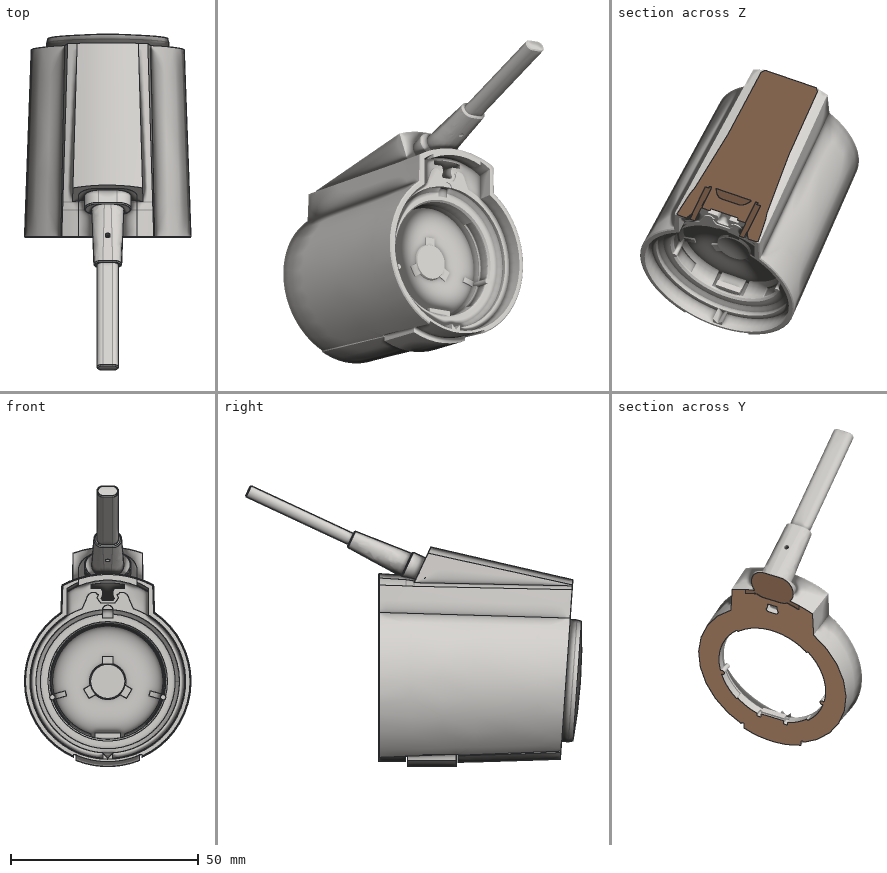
import cadquery as cq
import math


rim_radius = 22.2
back_radius = 20.4
back_y = 49.95
back_tilt = 4.0
overrun = 12.0
rim_chamfer = 0.3

cap_radius = 16.3
cap_center_z = 0.25
cap_height = 3.0
cap_chamfer_length = 1.2
cap_chamfer_width = 0.3
dome_height = 0.9

shoulder_back_y = 54.0
shoulder_base_z = 12.0
shoulder_top_z = 30.0
shoulder_front_base_half_width = 12.7
shoulder_front_top_half_width = 12.1
shoulder_back_base_half_width = 11.9
shoulder_back_top_half_width = 10.0
crown_half_width = 13.2
crown_front_edge_z = 25.1
crown_back_edge_z = 22.9
shoulder_front_crest_z = 28.75
shoulder_crests = [
    (0.0, shoulder_front_crest_z),
    (7.4, 28.2),
    (9.5, 27.8),
    (shoulder_back_y, 26.75),
]

axis_tilt = 25.0
ramp_slope = 13.0
ramp_tip_y = 14.0
ramp_tip_z = 35.78
ramp_front_half_width = 9.4
ramp_front_y = 9.0
ramp_back_half_width = 8.2
ramp_roof_radius = 25.0
ramp_base_z = 20.0

pad_half_width = 8.5
recess_half_width = 9.1
recess_z = -19.5
front_pad_radius = 21.4
front_pad_length = 7.3
foot_radius = 22.72
foot_start_y = 7.75
foot_end_y = 20.8
rear_pad_start_y = 21.2
rear_pad_front_radius = 21.62
rear_pad_back_radius = 20.75

ledge_depth = 4.2
seat_depth = 6.4
floor_depth = 12.3
floor_radius = 14.7
seat_inner_radius = 15.9
ledge_radius = 20.5
land_inner_radius = 19.1
bore_corners = [
    (20.75, 0.0),
    (ledge_radius, ledge_depth),
    (land_inner_radius, ledge_depth),
    (land_inner_radius, 5.4),
    (17.95, seat_depth),
    (seat_inner_radius, seat_depth),
    (15.45, 7.0),
    (15.1, 10.7),
    (floor_radius, floor_depth),
]

boss_top_radius = 4.55
boss_base_radius = 4.85
boss_height = 0.7
key_reach = 6.6
key_width = 2.9
key_height = 0.4
rod_radius = 0.7
rod_distance = 15.35
rod_overhang = 0.2
bar_inner_radius = 11.6
bar_height = 0.5
contact_angle = 16.0
tab_half_width = 3.4
tab_top_z = -13.75
tab_front_depth = 7.6
tab_strip_depth = 9.2
tab_root_z = -14.3
tab_slot_half_width = 4.45
tab_slot_radius = 15.4
notch_half_width = 1.4
notch_top_z = 20.3
notch_step_depth = 4.5
notch_bottom_z = 16.8
notch_depth = 6.8
window_radius = 15.7
window_front_depth = 7.4
window_back_depth = 10.4
window_angle = 48.0
rim_key_half_width = 1.3
rim_key_start_y = 0.5
rim_key_radius = 20.9
rim_key_groove_radius = 20.5

pocket_half_width = 10.9
pocket_corner_z = 23.7
pocket_flare = 1.0
pocket_crest_z = 26.95
pocket_depth = 4.5
pocket_base_z = 15.0

lobe_base_x = 6.8
lobe_base_z = 19.4
lobe_flank_x = 5.7
lobe_flank_z = 21.9
lobe_shoulder_x = 5.1
lobe_shoulder_z = 23.1
lobe_crest_x = 4.1
lobe_top_z = 23.7
lobe_tip_x = 3.2
lobe_nose_x = 2.45
lobe_nose_z = 23.15
lobe_throat_x = 2.85
lobe_throat_z = 22.2
lobe_nose_radius = 0.7
saddle_half_width = 1.9
saddle_z = 20.85

slot_head_half_width = 4.4
slot_head_bottom_z = 24.7
slot_crest_z = 26.2
slot_crest_drop = 0.4
slot_stem_half_width = 1.35
slot_neck_z = 23.4
slot_flare_z = 22.1
slot_bottom_half_width = 1.75
slot_bottom_z = 21.5

axis_start_y = 11.08
axis_start_z = 29.33
cable_width = 5.8
cable_thickness = 3.3
cable_end = 50.55
relief_base_width = 8.6
relief_base_thickness = 6.8
relief_tip_width = 7.4
relief_tip_thickness = 4.8
relief_end = 20.3
end_chamfer = 0.3
flange_width = 12.5
flange_thickness = 7.7
flange_end = 3.95
plate_width = 15.7
plate_thickness = 10.0
plate_depth = 2.0
vent_distance = 12.9
vent_diameter = 1.3


def section(y):
    """Sketch plane facing the front at depth y; local axes are X and Z."""
    return cq.Workplane("XZ", origin=(0, y, 0))


def cone_along_y(front_radius, end_radius, start_y, end_y):
    profile = [(0, start_y), (front_radius, start_y), (end_radius, end_y), (0, end_y)]
    return cq.Workplane("XY").polyline(profile).close().revolve(360, (0, 0, 0), (0, 1, 0))


def box_between(x, y, z):
    """Box spanning the three (low, high) ranges."""
    size = [high - low for low, high in (x, y, z)]
    return cq.Workplane("XY").box(*size, centered=False).translate((x[0], y[0], z[0]))


def arched_outline(plane, half_width, corner_z, crest_z, base_z):
    return (
        plane.moveTo(-half_width, base_z)
        .lineTo(-half_width, corner_z)
        .threePointArc((0, crest_z), (half_width, corner_z))
        .lineTo(half_width, base_z)
        .close()
    )


def place_on_cable_axis(shape):
    """Move a shape built along +Z, with +Y as its upper side, onto the tilted cable axis."""
    turned = shape.rotate((0, 0, 0), (1, 0, 0), 90 - axis_tilt)
    return turned.translate((0, axis_start_y, axis_start_z))


def loft_between(front_outline, back_outline):
    return cq.Workplane(cq.Solid.makeLoft([front_outline.val(), back_outline.val()], True))


def crown_outline(y, crest_z):
    share = y / shoulder_back_y
    edge_z = crown_front_edge_z + (crown_back_edge_z - crown_front_edge_z) * share
    return arched_outline(section(y), crown_half_width, edge_z, crest_z, shoulder_base_z)


def shoulder_walls(y, base_half_width, top_half_width):
    return (
        section(y)
        .polyline([
            (-base_half_width, shoulder_base_z),
            (-top_half_width, shoulder_top_z),
            (top_half_width, shoulder_top_z),
            (base_half_width, shoulder_base_z),
        ])
        .close()
    )


def shoulder():
    crown = cq.Workplane()
    for front, back in zip(shoulder_crests, shoulder_crests[1:]):
        crown = crown.add(loft_between(crown_outline(*front), crown_outline(*back)))
    walls = loft_between(
        shoulder_walls(0, shoulder_front_base_half_width, shoulder_front_top_half_width),
        shoulder_walls(shoulder_back_y, shoulder_back_base_half_width, shoulder_back_top_half_width),
    )
    return walls.intersect(crown.combine()).faces("<Y").chamfer(rim_chamfer)


def ramp():
    end_y = back_y + overrun
    tip_drop = ramp_tip_z - ramp_base_z
    slope = math.tan(math.radians(ramp_slope))
    face_lean = math.tan(math.radians(axis_tilt))
    side = (
        cq.Workplane("YZ")
        .polyline([
            (ramp_tip_y, ramp_tip_z),
            (ramp_tip_y - tip_drop * face_lean, ramp_base_z),
            (end_y, ramp_base_z),
            (end_y, ramp_tip_z - (end_y - ramp_tip_y) * slope),
        ])
        .close()
        .extrude(rim_radius, both=True)
    )
    plan = (
        cq.Workplane("XY", origin=(0, 0, ramp_base_z))
        .polyline([
            (-ramp_front_half_width, ramp_front_y),
            (ramp_front_half_width, ramp_front_y),
            (ramp_back_half_width, back_y),
            (ramp_back_half_width, end_y),
            (-ramp_back_half_width, end_y),
            (-ramp_back_half_width, back_y),
        ])
        .close()
        .extrude(tip_drop)
    )
    roof = (
        cq.Workplane("XZ", origin=(0, -overrun, 0))
        .circle(ramp_roof_radius)
        .extrude(-(back_y + 4 * overrun))
        .translate((0, -ramp_tip_y, -ramp_roof_radius))
        .rotate((0, 0, 0), (1, 0, 0), -ramp_slope)
        .translate((0, ramp_tip_y, ramp_tip_z))
    )
    return side.intersect(plan).intersect(roof)


def round_pad(half_width, front_radius, end_radius, start_y, end_y):
    pad = cone_along_y(front_radius, end_radius, start_y, end_y)
    return pad.intersect(box_between((-half_width, half_width), (start_y, end_y), (-2 * rim_radius, 0)))


def back_plane(distance):
    """Sketch plane on the tilted back face, moved outwards by distance."""
    tilt = math.radians(back_tilt)
    outward = cq.Vector(0, math.cos(tilt), -math.sin(tilt))
    center_y = back_y + cap_center_z * math.tan(tilt)
    origin = cq.Vector(0, center_y, cap_center_z) + outward * distance
    return cq.Workplane(cq.Plane(origin=origin, xDir=(1, 0, 0), normal=outward))


def back_cap():
    dome_edge_radius = cap_radius - cap_chamfer_width
    dome_radius = (dome_edge_radius**2 + dome_height**2) / (2 * dome_height)
    middle = dome_edge_radius / 2
    middle_drop = dome_radius - math.sqrt(dome_radius**2 - middle**2)
    dome_crest = cap_height + dome_height
    frame = back_plane(0).plane
    half_section = cq.Workplane(cq.Plane(origin=frame.origin, xDir=frame.xDir, normal=-frame.yDir))
    return (
        half_section.moveTo(0, -cap_height)
        .lineTo(cap_radius, -cap_height)
        .lineTo(cap_radius, cap_height - cap_chamfer_length)
        .lineTo(dome_edge_radius, cap_height)
        .threePointArc((middle, dome_crest - middle_drop), (0, dome_crest))
        .close()
        .revolve(360, (0, 0, 0), (0, 1, 0))
    )


def housing_outside():
    end_y = back_y + overrun
    end_radius = rim_radius - (rim_radius - back_radius) * end_y / back_y
    shell = cone_along_y(rim_radius, end_radius, 0, end_y)
    shell = shell.faces("<Y").chamfer(rim_chamfer)
    shell = shell.cut(box_between(
        (-recess_half_width, recess_half_width), (0, rear_pad_start_y), (-2 * rim_radius, recess_z)))
    shell = shell.union(round_pad(
        recess_half_width, front_pad_radius, front_pad_radius, 0, front_pad_length))
    shell = shell.union(round_pad(pad_half_width, foot_radius, foot_radius, foot_start_y, foot_end_y))
    shell = shell.union(round_pad(
        pad_half_width, rear_pad_front_radius, rear_pad_back_radius, rear_pad_start_y, back_y))
    shell = shell.union(shoulder())
    shell = shell.union(ramp())
    behind = back_plane(0).rect(8 * rim_radius, 8 * rim_radius).extrude(2 * overrun)
    return shell.cut(behind).union(back_cap())


def bore():
    outline = [(0, 0)] + bore_corners + [(0, floor_depth)]
    return cq.Workplane("XY").polyline(outline).close().revolve(360, (0, 0, 0), (0, 1, 0))


def pocket(depth):
    outline = arched_outline(section(0), pocket_half_width, pocket_corner_z, pocket_crest_z, pocket_base_z)
    return outline.extrude(-depth)


def pocket_flares():
    """Sloping ceiling of the pocket on both sides of the cover plate."""
    flare = loft_between(
        arched_outline(
            section(0), pocket_half_width, pocket_corner_z + pocket_flare,
            pocket_crest_z + pocket_flare, pocket_base_z),
        arched_outline(
            section(pocket_depth), pocket_half_width, pocket_corner_z, pocket_crest_z, pocket_base_z),
    )
    half_width = plate_width / 2
    middle = box_between((-half_width, half_width), (0, pocket_depth), (0, 2 * rim_radius))
    return flare.cut(middle)


def both_halves(half):
    return half.union(half.mirror("YZ"))


def ledge_land():
    """Ledge around the bore with the two lobes that hold the cable."""
    height = pocket_depth - ledge_depth
    land = section(ledge_depth).circle(ledge_radius).extrude(-height)
    lobe = (
        section(ledge_depth)
        .moveTo(0, pocket_base_z)
        .lineTo(lobe_base_x, pocket_base_z)
        .lineTo(lobe_base_x, lobe_base_z)
        .lineTo(lobe_flank_x, lobe_flank_z)
        .threePointArc((lobe_shoulder_x, lobe_shoulder_z), (lobe_crest_x, lobe_top_z))
        .lineTo(lobe_tip_x, lobe_top_z)
        .radiusArc((lobe_nose_x, lobe_nose_z), lobe_nose_radius)
        .lineTo(lobe_throat_x, lobe_throat_z)
        .lineTo(saddle_half_width, saddle_z)
        .lineTo(0, saddle_z)
        .close()
        .extrude(-height)
    )
    return land.union(both_halves(lobe))


def cable_slot():
    """T-shaped channel whose ceiling slopes down into the block behind the pocket."""
    reach = (slot_crest_z - slot_bottom_z) / math.tan(math.radians(axis_tilt))
    half_outline = (
        section(ledge_depth)
        .moveTo(0, slot_crest_z)
        .threePointArc(
            (slot_head_half_width / 2, slot_crest_z - slot_crest_drop / 4),
            (slot_head_half_width, slot_crest_z - slot_crest_drop),
        )
        .lineTo(slot_head_half_width, slot_head_bottom_z)
        .lineTo(slot_bottom_half_width, slot_head_bottom_z)
        .threePointArc((slot_stem_half_width, slot_neck_z), (slot_bottom_half_width, slot_flare_z))
        .lineTo(slot_stem_half_width, slot_bottom_z)
        .lineTo(0, slot_bottom_z)
        .close()
        .extrude(-2 * reach)
    )
    below_ceiling = (
        cq.Workplane("YZ")
        .polyline([
            (0, slot_crest_z),
            (pocket_depth, slot_crest_z),
            (pocket_depth + reach, slot_bottom_z),
            (0, slot_bottom_z),
        ])
        .close()
        .extrude(slot_head_half_width, both=True)
    )
    return both_halves(half_outline).intersect(below_ceiling)


def center_boss():
    """Raised disc on the bore floor with three low keys around it."""
    boss = cone_along_y(boss_top_radius, boss_base_radius, floor_depth - boss_height, floor_depth)
    key = box_between(
        (0, key_reach),
        (floor_depth - key_height, floor_depth),
        (-key_width / 2, key_width / 2),
    )
    for index in range(3):
        boss = boss.union(key.rotate((0, 0, 0), (0, 1, 0), -90 + 120 * index))
    return boss


def contact():
    """Round rod down the bore wall with a bar running inwards along the floor."""
    rod = (
        section(seat_depth - rod_overhang)
        .center(rod_distance, 0)
        .circle(rod_radius)
        .extrude(-(floor_depth - seat_depth + rod_overhang))
    )
    bar = box_between(
        (bar_inner_radius, rod_distance),
        (floor_depth - bar_height, floor_depth),
        (-rod_radius, rod_radius),
    )
    return rod.union(bar).rotate((0, 0, 0), (0, 1, 0), contact_angle)


def floor_tab():
    """Tab standing at the bottom of the bore wall."""
    tab = (
        cq.Workplane("YZ")
        .polyline([
            (tab_front_depth, -seat_inner_radius),
            (tab_front_depth, tab_top_z),
            (tab_strip_depth, tab_top_z),
            (tab_strip_depth, tab_root_z),
            (floor_depth, tab_root_z),
            (floor_depth, -seat_inner_radius),
        ])
        .close()
        .extrude(tab_half_width, both=True)
    )
    return tab.intersect(bore())


def tab_slots():
    """Relief slots in the bore wall on both sides of the tab."""
    slot = box_between(
        (tab_half_width, tab_slot_half_width),
        (tab_front_depth, floor_depth),
        (-tab_slot_radius, tab_top_z),
    )
    return both_halves(slot)


def top_notch():
    """Notch at the top of the bore: a round-topped step and a deeper lower part."""
    step = arched_outline(section(0), notch_half_width, land_inner_radius, notch_top_z, 0)
    step = step.extrude(-notch_step_depth)
    lower = box_between(
        (-notch_half_width, notch_half_width),
        (0, notch_depth),
        (notch_bottom_z, land_inner_radius),
    )
    return step.union(lower)


def wall_windows():
    """Shallow recesses in the bore wall, one on each side."""
    ring = section(window_front_depth).circle(window_radius)
    ring = ring.extrude(window_front_depth - window_back_depth)
    rise = window_radius * math.tan(math.radians(window_angle))
    wedge = (
        section(window_front_depth)
        .polyline([(0, 0), (window_radius, rise), (window_radius, -rise)])
        .close()
        .extrude(window_front_depth - window_back_depth)
    )
    return both_halves(ring.intersect(wedge))


def rim_key():
    """Small block with a V groove inside the rim at the bottom."""
    key = box_between(
        (-rim_key_half_width, rim_key_half_width),
        (rim_key_start_y, ledge_depth),
        (-rim_key_radius, -land_inner_radius),
    )
    groove = (
        section(0)
        .polyline([
            (-rim_key_half_width, -land_inner_radius),
            (rim_key_half_width, -land_inner_radius),
            (0, -rim_key_groove_radius),
        ])
        .close()
        .extrude(-ledge_depth)
    )
    return key.cut(groove)


def cavity():
    space = pocket(pocket_depth).union(pocket_flares()).cut(ledge_land())
    space = space.union(bore()).union(cable_slot())
    space = space.cut(center_boss()).cut(floor_tab()).union(tab_slots())
    space = space.union(top_notch()).union(wall_windows()).cut(rim_key())
    one_contact = contact()
    return space.cut(one_contact).cut(one_contact.mirror("YZ"))


def cover_space():
    """Slot that is open at the rim and ends in an arch in the ramp face."""
    arch = (
        cq.Workplane("XY", origin=(0, 0, -plate_depth))
        .slot2D(plate_width, plate_thickness)
        .extrude(2 * plate_depth)
    )
    half_width = plate_width / 2
    band = box_between((-half_width, half_width), (0, axis_start_y), (pocket_corner_z, shoulder_front_crest_z))
    return band.union(place_on_cable_axis(arch)).cut(pocket(2 * axis_start_y))


def strain_relief():
    length = relief_end - flange_end
    relief = (
        cq.Workplane("XY", origin=(0, 0, flange_end))
        .slot2D(relief_base_width, relief_base_thickness)
        .workplane(offset=length)
        .slot2D(relief_tip_width, relief_tip_thickness)
        .loft(ruled=True)
        .faces(">Z")
        .chamfer(end_chamfer)
    )
    vent = (
        cq.Workplane("XZ", origin=(0, 0, vent_distance))
        .circle(vent_diameter / 2)
        .extrude(relief_base_thickness, both=True)
    )
    return relief.cut(vent)


def cable_parts():
    flange = (
        cq.Workplane("XY", origin=(0, 0, -plate_depth))
        .slot2D(flange_width, flange_thickness)
        .extrude(flange_end + plate_depth)
        .faces(">Z")
        .chamfer(end_chamfer)
    )
    cable = (
        cq.Workplane("XY", origin=(0, 0, relief_end))
        .slot2D(cable_width, cable_thickness)
        .extrude(cable_end - relief_end)
        .faces(">Z")
        .chamfer(end_chamfer)
    )
    return place_on_cable_axis(flange.union(strain_relief()).union(cable))


housing_block = housing_outside()
cable_solid = cable_parts()
cable_insert = housing_block.intersect(cover_space()).union(cable_solid)
housing = housing_block.cut(cavity()).cut(cover_space()).cut(cable_solid)

result = cq.Compound.makeCompound([housing.solids().val(), cable_insert.solids().val()])